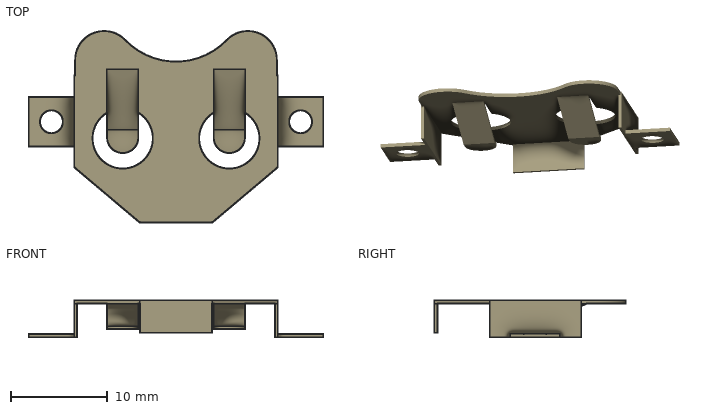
import cadquery as cq
import math

overall_width = 30.4
overall_depth = 19.8
overall_height = 3.85
sheet = 0.35

body_half_width = 10.52
front_half_width = 3.75
shoulder_y = 5.7
lobe_radius = 3.0
lobe_half_width = 10.43
valley_y = 16.63

wall_thickness = 0.3
wall_back_y = 15.2
lip_height = 3.37
tab_front_y = 7.85
tab_width = 5.15
tab_hole_diameter = 2.35

contact_x = 5.5
contact_width = 3.25
contact_root_y = 15.85
contact_bend_y = 9.58
contact_tip_y = 7.17
contact_thickness = 0.3
contact_drop = 2.7
window_radius = 3.1
window_y = 8.7

plate_bottom_z = overall_height - sheet


def box(x_min, x_max, y_min, y_max, z_min, z_max):
    """Axis-aligned box between two opposite corners."""
    size = (x_max - x_min, y_max - y_min, z_max - z_min)
    return cq.Workplane("XY").box(*size, centered=False).translate((x_min, y_min, z_min))


def make_plate():
    """Plate with tapered front corners and two round lobes at the back."""
    lobe_x = lobe_half_width - lobe_radius
    lobe_y = overall_depth - lobe_radius
    rise = valley_y - lobe_y
    valley_radius = (lobe_x**2 + rise**2 - lobe_radius**2) / (2 * (lobe_radius - rise))
    valley_center_y = valley_y + valley_radius
    reach = lobe_radius / (lobe_radius + valley_radius)
    join_x = lobe_x * (1 - reach)
    join_y = lobe_y + (valley_center_y - lobe_y) * reach
    return (
        cq.Workplane("XY", origin=(0, 0, plate_bottom_z))
        .moveTo(-front_half_width, 0)
        .lineTo(front_half_width, 0)
        .lineTo(body_half_width, shoulder_y)
        .lineTo(body_half_width, wall_back_y)
        .lineTo(lobe_half_width, wall_back_y)
        .lineTo(lobe_half_width, lobe_y)
        .threePointArc((lobe_x, overall_depth), (join_x, join_y))
        .threePointArc((0, valley_y), (-join_x, join_y))
        .threePointArc((-lobe_x, overall_depth), (-lobe_half_width, lobe_y))
        .lineTo(-lobe_half_width, wall_back_y)
        .lineTo(-body_half_width, wall_back_y)
        .lineTo(-body_half_width, shoulder_y)
        .close()
        .extrude(sheet)
    )


def make_window(x):
    """Round opening joined to the slot left by a contact."""
    opening = (
        cq.Workplane("XY", origin=(x, window_y, plate_bottom_z)).circle(window_radius).extrude(sheet)
    )
    half_width = contact_width / 2
    slot = box(x - half_width, x + half_width, window_y, contact_root_y, plate_bottom_z, overall_height)
    return opening.union(slot)


def make_contact(x):
    """Sloping spring strip with a flat, rounded tip."""
    half_width = contact_width / 2
    bend_z = overall_height - contact_drop
    slope = contact_drop / (contact_root_y - contact_bend_y)
    strip_depth = contact_thickness * math.hypot(1, slope)
    lower_bend_y = contact_bend_y + (strip_depth - contact_thickness) / slope
    root_exit_y = contact_root_y - (sheet - strip_depth) / slope
    strip = (
        cq.Workplane("YZ", origin=(x - half_width, 0, 0))
        .polyline([
            (contact_root_y, overall_height),
            (contact_bend_y, bend_z),
            (contact_tip_y, bend_z),
            (contact_tip_y, bend_z - contact_thickness),
            (lower_bend_y, bend_z - contact_thickness),
            (root_exit_y, plate_bottom_z),
            (contact_root_y, plate_bottom_z),
        ])
        .close()
        .extrude(contact_width)
    )
    tip_center_y = contact_tip_y + half_width
    footprint = (
        cq.Workplane("XY")
        .moveTo(x - half_width, contact_root_y)
        .lineTo(x - half_width, tip_center_y)
        .threePointArc((x, contact_tip_y), (x + half_width, tip_center_y))
        .lineTo(x + half_width, contact_root_y)
        .close()
        .extrude(overall_height)
    )
    return strip.intersect(footprint)


def make_right_side():
    """Side wall with its outward solder tab, on the +X side."""
    wall_inner_x = body_half_width - wall_thickness
    wall = box(wall_inner_x, body_half_width, shoulder_y, wall_back_y, 0, overall_height)
    tab_end_x = overall_width / 2
    tab = box(wall_inner_x, tab_end_x, tab_front_y, tab_front_y + tab_width, 0, sheet)
    hole = (
        cq.Workplane("XY")
        .center((body_half_width + tab_end_x) / 2, tab_front_y + tab_width / 2)
        .circle(tab_hole_diameter / 2)
        .extrude(sheet)
    )
    return wall.union(tab).cut(hole)


plate = make_plate()
for side in (-1, 1):
    plate = plate.cut(make_window(side * contact_x))

front_lip = box(
    -front_half_width, front_half_width, 0, sheet, overall_height - lip_height, overall_height
)
right_side = make_right_side()

result = plate.union(front_lip).union(right_side).union(right_side.mirror("YZ"))
for side in (-1, 1):
    result = result.union(make_contact(side * contact_x))